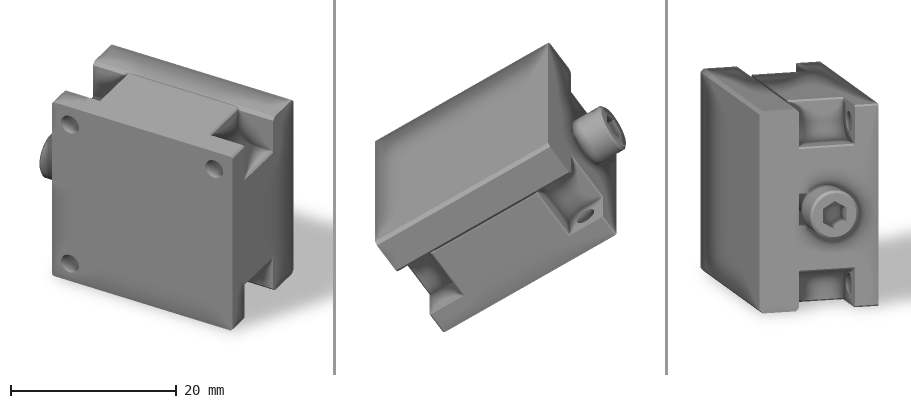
import cadquery as cq
import math


side = 25.0
block_depth = 10.0
plate_thickness = 5.0
plate_chamfer = 0.4

flange_thickness = 3.0
notch_size = 4.78
notch_fillet = 2.0
edge_chamfer = 0.2

hole_diameter = 2.46
hole_inset = 2.5

screw_axis_y = 6.7
head_diameter = 6.0
head_length = 4.0
head_chamfer = 0.3
hex_across_flats = 3.0
hex_depth = 2.5
shank_diameter = 4.0
shank_length = 10.0

corners = [(sx, sz) for sx in (-1, 1) for sz in (-1, 1)]


def box_from(x_length, y_start, y_length, z_length):
    """Box that starts at X = 0 and y_start, centred on Z."""
    return (
        cq.Workplane("XY")
        .box(x_length, y_length, z_length, centered=(False, False, True))
        .translate((0, y_start, 0))
    )


def screw_plane(x):
    """Plane across the screw axis at x, facing +X; its local axes are Y and Z."""
    return cq.Workplane("YZ", origin=(x, screw_axis_y, 0))


def notched_core():
    """Rear part of the block: a square with its four corners notched."""
    core = box_from(side, flange_thickness, block_depth - flange_thickness, side)
    for sx, sz in corners:
        notch = (
            cq.Workplane("XY")
            .box(2 * notch_size, 2 * block_depth, 2 * notch_size)
            .edges("|Y")
            .fillet(notch_fillet)
            .translate((side / 2 * (1 + sx), block_depth, side / 2 * sz))
        )
        core = core.cut(notch)
    outer_edges = core.edges("|Y").edges("<X or >X or <Z or >Z")
    return outer_edges.chamfer(edge_chamfer)


def flange_holes():
    """Three through holes; the lower corner away from the screw has none."""
    near_x = hole_inset
    far_x = side - hole_inset
    top_z = side / 2 - hole_inset
    return (
        cq.Workplane("XZ")
        .pushPoints([(near_x, top_z), (far_x, top_z), (near_x, -top_z)])
        .circle(hole_diameter / 2)
        .extrude(-flange_thickness)
    )


def screw_slot():
    """Blind slot with a round bottom, open to the screw face and to the plate."""
    round_bottom = screw_plane(0).circle(shank_diameter / 2).extrude(shank_length)
    opening = box_from(shank_length, screw_axis_y, block_depth - screw_axis_y, shank_diameter)
    return round_bottom.union(opening)


def make_block():
    flange = box_from(side, 0, flange_thickness, side).edges("|Y").chamfer(edge_chamfer)
    return flange.union(notched_core()).cut(flange_holes()).cut(screw_slot())


def make_plate():
    plate = box_from(side, block_depth, plate_thickness, side)
    return plate.edges("|X").chamfer(plate_chamfer)


def make_screw():
    head = (
        screw_plane(-head_length)
        .circle(head_diameter / 2)
        .extrude(head_length)
        .faces("<X")
        .chamfer(head_chamfer)
    )
    shank = screw_plane(0).circle(shank_diameter / 2).extrude(shank_length)
    hex_across_corners = hex_across_flats / math.cos(math.radians(30))
    socket = (
        screw_plane(-head_length)
        .transformed(rotate=(0, 0, 90))
        .polygon(6, hex_across_corners)
        .extrude(hex_depth)
    )
    return head.union(shank).cut(socket)


block = make_block()
plate = make_plate()
screw = make_screw()

result = cq.Compound.makeCompound([block.val(), plate.val(), screw.val()])